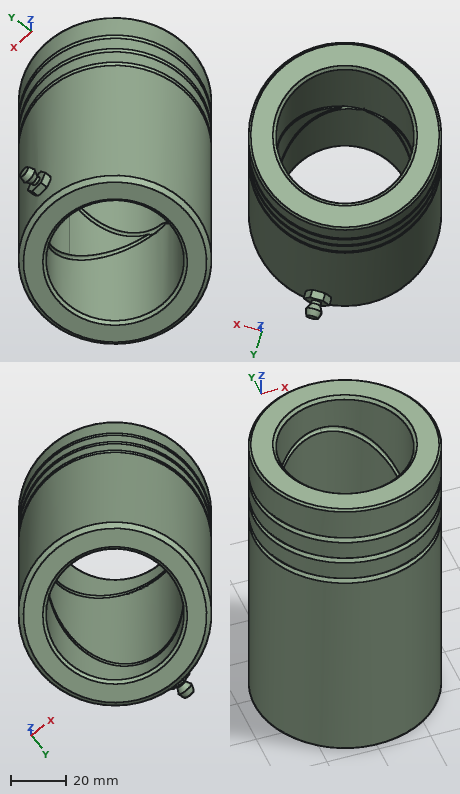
import cadquery as cq
import math

LENGTH = 120.0
OUTER_RADIUS = 34.98
BORE_RADIUS = 25.0
TOP_CHAMFER = 0.8
FOOT_CHAMFER = 1.8
BORE_CHAMFER = 1.2

RING_COUNT = 3
FIRST_RING_DROP = 14.9
RING_PITCH = 10.1
RING_DEPTH = 1.2

OIL_GROOVE_RADIUS = 1.2
OIL_GROOVE_END_OFFSET = 15.0

NIPPLE_HEIGHT = OIL_GROOVE_END_OFFSET
SHANK_RADIUS = 2.5
SHANK_DEPTH = 6.0
HEX_ACROSS_FLATS = 8.4
HEX_TOP = 3.0
HEX_CHAMFER = 0.4
NECK_RADIUS = 1.8
NECK_TOP = 4.2
HEAD_RADIUS = 3.0
HEAD_RIM = 6.5
HEAD_BULGE_RADIUS = 2.6
HEAD_BULGE_HEIGHT = 7.9
TIP_RADIUS = 2.2
NIPPLE_REACH = 9.0


def make_sleeve():
    """Plain tube with chamfered ends."""
    outside = cq.Workplane("XY").circle(OUTER_RADIUS).extrude(LENGTH)
    outside = outside.faces(">Z").chamfer(TOP_CHAMFER).faces("<Z").chamfer(FOOT_CHAMFER)
    sleeve = outside.cut(cq.Workplane("XY").circle(BORE_RADIUS).extrude(LENGTH))
    bore_rims = sleeve.edges(cq.selectors.RadiusNthSelector(0))
    return bore_rims.chamfer(BORE_CHAMFER)


def make_ring_cutter(height):
    """Diamond-section ring centred on the outer surface, which cuts one V-groove."""
    return (
        cq.Workplane("XZ")
        .moveTo(OUTER_RADIUS - RING_DEPTH, height)
        .lineTo(OUTER_RADIUS, height + RING_DEPTH)
        .lineTo(OUTER_RADIUS + RING_DEPTH, height)
        .lineTo(OUTER_RADIUS, height - RING_DEPTH)
        .close()
        .revolve(360, (0, 0, 0), (0, 1, 0))
    )


def make_oil_groove_cutter(height_at_plus_y):
    """Round bar along the ellipse where a tilted plane meets the bore."""
    rise = height_at_plus_y - LENGTH / 2
    center_height = (LENGTH / 2 + height_at_plus_y) / 2
    half_length = math.hypot(BORE_RADIUS, rise / 2)
    slope = cq.Vector(0, BORE_RADIUS, rise / 2).normalized()
    normal = cq.Vector(1, 0, 0).cross(slope)
    tilted = cq.Plane((0, 0, center_height), xDir=slope, normal=normal)
    path = cq.Workplane(tilted).ellipse(half_length, BORE_RADIUS)
    start = cq.Plane((0, BORE_RADIUS, height_at_plus_y), xDir=slope, normal=(1, 0, 0))
    return cq.Workplane(start).circle(OIL_GROOVE_RADIUS).sweep(path)


def nipple_plane(distance):
    """Plane across the nipple, at a distance outside the bushing."""
    origin = (0, OUTER_RADIUS + distance, NIPPLE_HEIGHT)
    return cq.Plane(origin, xDir=(1, 0, 0), normal=(0, 1, 0))


def make_shank():
    """Round end of the nipple, which fills its hole in the bushing."""
    return cq.Workplane(nipple_plane(-SHANK_DEPTH)).circle(SHANK_RADIUS).extrude(SHANK_DEPTH)


def make_bushing():
    bushing = make_sleeve()
    for end_height in (OIL_GROOVE_END_OFFSET, LENGTH - OIL_GROOVE_END_OFFSET):
        bushing = bushing.cut(make_oil_groove_cutter(end_height), clean=False)
    for index in range(RING_COUNT):
        ring_height = LENGTH - FIRST_RING_DROP - index * RING_PITCH
        bushing = bushing.cut(make_ring_cutter(ring_height), clean=False)
    return bushing.cut(make_shank(), clean=False).solids()


def make_hexagon():
    """Hexagon with corners on the +X and -X sides and a chamfered underside."""
    across_corners = HEX_ACROSS_FLATS / math.cos(math.pi / 6)
    hexagon = cq.Workplane(nipple_plane(0)).polygon(6, across_corners).extrude(HEX_TOP)
    corner_cone = (
        cq.Workplane(nipple_plane(0))
        .circle(across_corners / 2)
        .extrude(HEX_TOP)
        .faces("<Y")
        .chamfer(HEX_CHAMFER)
    )
    return hexagon.intersect(corner_cone)


def make_head():
    """Neck, flared rim and rounded tip, turned about the nipple axis."""
    axis_plane = cq.Plane((0, OUTER_RADIUS, NIPPLE_HEIGHT), xDir=(1, 0, 0), normal=(0, 0, 1))
    return (
        cq.Workplane(axis_plane)
        .moveTo(0, HEX_TOP)
        .lineTo(NECK_RADIUS, HEX_TOP)
        .lineTo(NECK_RADIUS, NECK_TOP)
        .lineTo(HEAD_RADIUS, HEAD_RIM)
        .threePointArc((HEAD_BULGE_RADIUS, HEAD_BULGE_HEIGHT), (TIP_RADIUS, NIPPLE_REACH))
        .lineTo(0, NIPPLE_REACH)
        .close()
        .revolve(360, (0, 0, 0), (0, 1, 0))
    )


def make_nipple():
    return make_shank().union(make_hexagon()).union(make_head())


bushing = make_bushing()
nipple = make_nipple()
result = cq.Compound.makeCompound([bushing.val(), nipple.val()])